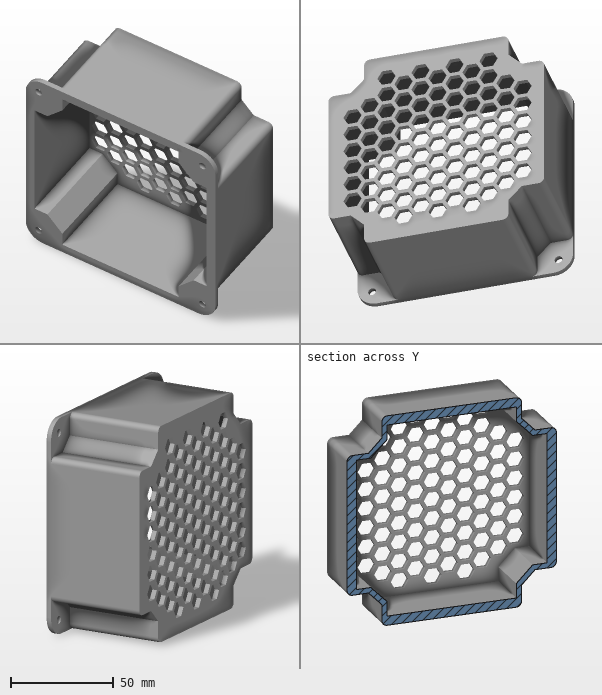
import cadquery as cq
import math

flange_size = 110.0
flange_thickness = 2.5
flange_corner_radius = 10.0
screw_hole_diameter = 4.0
screw_hole_offset = 47.5

total_depth = 52.5
box_half_width = flange_size / 2
box_step = 36.7
box_bevel = 43.7
box_edge_radius = 3.0

side_wall = 5.1
corner_wall = 3.0
back_wall = 2.5
cavity_half_width = box_half_width - side_wall
cavity_step = box_step - corner_wall
cavity_bevel = box_step + box_bevel - corner_wall * math.sqrt(2) - cavity_step

hexagon_sides = 6
hexagon_flats = 8.0
hexagon_corners = hexagon_flats / math.cos(math.pi / hexagon_sides)
row_pitch = 10.0
column_pitch = row_pitch * math.cos(math.pi / hexagon_sides)
vent_center_x = -0.7
rows_by_distance = [(-4, 4), (-4, 4), (-4, 4), (-4, 4), (-3, 3), (-3, 2)]


def y_plane(y):
    """Plane facing +Y at depth y, with local x along +X and local y along -Z."""
    return cq.Workplane(cq.Plane(origin=(0, y, 0), xDir=(1, 0, 0), normal=(0, 1, 0)))


def stepped_square(half_width, step, bevel):
    """Points of a square whose corners are notched, each notch with a beveled inner corner."""
    corner = [(half_width, step), (bevel, step), (step, bevel), (step, half_width)]
    points = []
    for quarter in range(4):
        for u, v in corner:
            points.append((u, v))
        corner = [(-v, u) for u, v in corner]
    return points


def make_flange():
    plate = y_plane(0).rect(flange_size, flange_size).extrude(flange_thickness)
    plate = plate.edges("|Y").fillet(flange_corner_radius)
    holes = (
        y_plane(0)
        .rect(2 * screw_hole_offset, 2 * screw_hole_offset, forConstruction=True)
        .vertices()
        .circle(screw_hole_diameter / 2)
        .extrude(flange_thickness)
    )
    return plate.cut(holes)


def make_box():
    outline = stepped_square(box_half_width, box_step, box_bevel)
    box = y_plane(flange_thickness).polyline(outline).close().extrude(total_depth - flange_thickness)
    rim_edges = box.edges("|Y").filter(
        lambda edge: max(abs(edge.Center().x), abs(edge.Center().z)) > box_half_width - box_edge_radius
    )
    return box.newObject(rim_edges.vals()).fillet(box_edge_radius)


def make_cavity():
    outline = stepped_square(cavity_half_width, cavity_step, cavity_bevel)
    return y_plane(0).polyline(outline).close().extrude(total_depth - back_wall)


def make_vent():
    centers = []
    last_column = len(rows_by_distance) - 1
    for column in range(-last_column, last_column + 1):
        lowest, highest = rows_by_distance[abs(column)]
        stagger = row_pitch / 4 if column % 2 else -row_pitch / 4
        for row in range(lowest, highest + 1):
            x = vent_center_x + column * column_pitch
            z = stagger + row * row_pitch
            centers.append((x, -z))
    return (
        y_plane(total_depth - back_wall)
        .pushPoints(centers)
        .polygon(hexagon_sides, hexagon_corners)
        .extrude(back_wall)
    )


result = make_flange().union(make_box()).cut(make_cavity()).cut(make_vent())